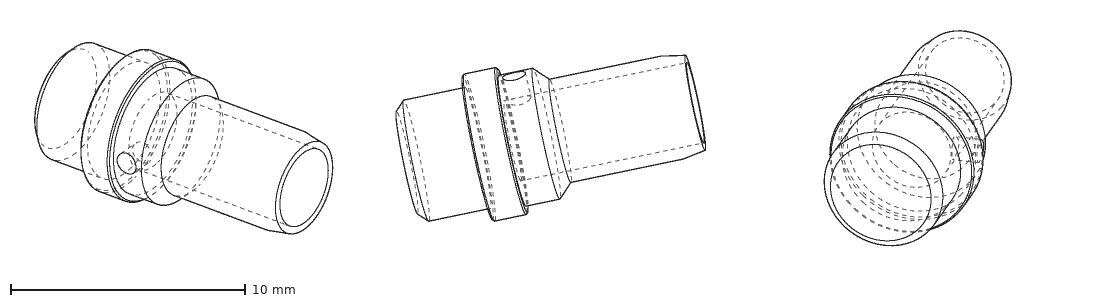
import cadquery as cq

length = 12.61
rear_chamfer = 0.4
flange_start = 3.09
flange_end = 4.62
collar_end = 6.09
tip_start = 11.6
bore_floor = 4.62

rear_radius = 2.65
flange_radius = 3.22
collar_radius = 2.86
shaft_radius = 2.26
tip_radius = 2.08
bore_radius = 1.75

flange_chamfer = 0.08
shaft_start = collar_end + collar_radius - shaft_radius

hole_diameter = 1.0
hole_x = 5.31


def turned_body():
    """Revolve the stepped half profile about the X axis."""
    profile = [
        (0, 0),
        (0, rear_radius - rear_chamfer),
        (rear_chamfer, rear_radius),
        (flange_start, rear_radius),
        (flange_start, flange_radius - flange_chamfer),
        (flange_start + flange_chamfer, flange_radius),
        (flange_end - flange_chamfer, flange_radius),
        (flange_end, flange_radius - flange_chamfer),
        (flange_end, collar_radius),
        (collar_end, collar_radius),
        (shaft_start, shaft_radius),
        (tip_start, shaft_radius),
        (length, tip_radius),
        (length, 0),
    ]
    return cq.Workplane("XY").polyline(profile).close().revolve(360, (0, 0, 0), (1, 0, 0))


def wire_bore():
    """Blind bore along the axis, open at the tip end."""
    return cq.Workplane("YZ", origin=(bore_floor, 0, 0)).circle(bore_radius).extrude(length - bore_floor)


def inspection_hole():
    """Radial hole from the axis out through the -Y wall of the collar."""
    return cq.Workplane("XZ", origin=(hole_x, 0, 0)).circle(hole_diameter / 2).extrude(flange_radius)


result = turned_body().cut(wire_bore()).cut(inspection_hole())